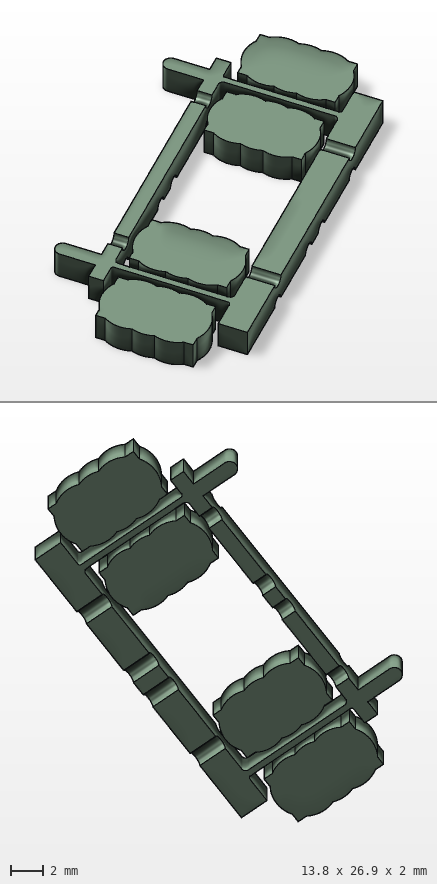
import cadquery as cq

thickness = 2.0
total_width = 13.85
total_length = 26.9

narrow_rail_width = 1.0
narrow_rail_length = 20.35
narrow_rail_left = 2.9
wide_rail_width = 1.95
wide_rail_length = 21.62
wide_rail_left = total_width - wide_rail_width

peg_width = 1.0
peg_offset = 8.63

web_width = 0.4
web_offset = 8.65
web_inner_fillet = 0.3
web_outer_fillet = 0.15

groove_width = 1.0
narrow_groove_offset = 6.65
wide_groove_offset = 5.95
middle_groove_offset = 1.02

lobe_radius = 2.12
lobe_spacing = 1.5
pad_core_length = 6.55
pad_core_width = 3.58
pad_pitch = 5.35
pad_x = (narrow_rail_left + narrow_rail_width + wide_rail_left) / 2
outer_pad_y = total_length / 2 - lobe_radius
inner_pad_y = outer_pad_y - pad_pitch


def block(left, right, y_center, width):
    """Full-thickness bar between two X positions, centred on y_center."""
    bar = cq.Workplane("XY").box(right - left, width, thickness, centered=(False, True, False))
    return bar.translate((left, y_center, 0))


def peg(side):
    """Peg with a full-round tip at X = 0; side is +1 or -1 along Y."""
    tip_radius = peg_width / 2
    y = side * peg_offset
    root = narrow_rail_left + narrow_rail_width
    return (
        cq.Workplane("XY")
        .moveTo(root, y + tip_radius)
        .lineTo(tip_radius, y + tip_radius)
        .threePointArc((0, y), (tip_radius, y - tip_radius))
        .lineTo(root, y - tip_radius)
        .close()
        .extrude(thickness)
    )


def web_corner(x, side, direction, outward, radius):
    """Concave fillet where a web meets the rail face at X = x.

    direction is +1 or -1 along X, from the rail face towards the web.
    outward is +1 for the corner nearer the end of the frame, -1 for the one nearer its middle.
    """
    y = side * (web_offset + outward * web_width / 2)
    x_far = x + direction * radius
    y_far = y + side * outward * radius
    square = block(min(x, x_far), max(x, x_far), (y + y_far) / 2, radius)
    rounding = cq.Workplane("XY").center(x_far, y_far).circle(radius).extrude(thickness)
    return square.cut(rounding)


def web(side):
    """Thin web with filleted roots at both rails."""
    left = narrow_rail_left + narrow_rail_width
    body = block(left, wide_rail_left, side * web_offset, web_width)
    for x, direction in ((left, 1), (wide_rail_left, -1)):
        body = body.union(web_corner(x, side, direction, 1, web_outer_fillet))
        body = body.union(web_corner(x, side, direction, -1, web_inner_fillet))
    return body


def groove(left, width, y, z):
    """Cutter for a half-round groove running along X through one rail."""
    return cq.Workplane("YZ", origin=(left, y, z)).circle(groove_width / 2).extrude(width)


def make_rail(left, width, length, end_groove_offset):
    """Rail grooved near both ends on top and bottom, and twice at mid-length on the bottom."""
    rail = block(left, left + width, 0, length)
    for side in (-1, 1):
        for z in (0, thickness):
            rail = rail.cut(groove(left, width, side * end_groove_offset, z))
        rail = rail.cut(groove(left, width, side * middle_groove_offset, 0))
    return rail


def make_frame():
    frame = make_rail(narrow_rail_left, narrow_rail_width, narrow_rail_length, narrow_groove_offset)
    wide_rail = make_rail(wide_rail_left, wide_rail_width, wide_rail_length, wide_groove_offset)
    for side in (-1, 1):
        frame = frame.union(peg(side)).union(web(side))
    return frame.union(wide_rail)


def make_pad(y):
    pad = block(pad_x - pad_core_length / 2, pad_x + pad_core_length / 2, y, pad_core_width)
    for step in (-1, 0, 1):
        lobe = cq.Workplane("XY").center(pad_x + step * lobe_spacing, y).circle(lobe_radius).extrude(thickness)
        pad = pad.union(lobe)
    return pad


frame = make_frame()
pads = [make_pad(y) for y in (-outer_pad_y, -inner_pad_y, inner_pad_y, outer_pad_y)]

result = cq.Compound.makeCompound([frame.val(), *[pad.val() for pad in pads]])